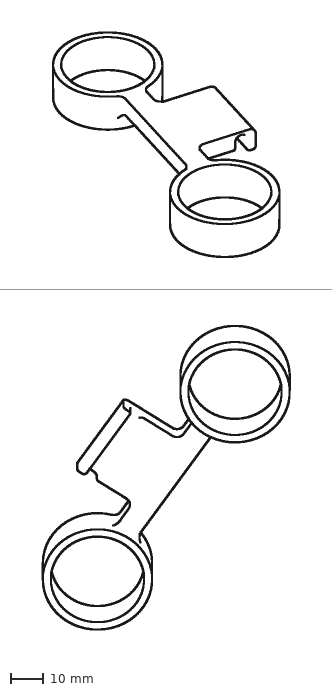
import cadquery as cq

overall_length = 110.1
ring_outer_diameter = 33.9
ring_inner_diameter = 28.8
ring_height = 12.7
ring_radius = ring_outer_diameter / 2
ring_center_x = overall_length / 2 - ring_radius

plate_thickness = 6.3
bridge_width = 7.6
tab_width = 25.5
tab_back_y = 24.7
blend_radius = 2.5
plate_bottom = ring_height - plate_thickness
bridge_half_width = bridge_width / 2

lip_thickness = 3.2
lip_height = 8.1
slot_width = 3.5
slot_roof_thickness = 1.8
hook_edge_radius = 1.2
slot_radius = slot_width / 2
slot_back_y = tab_back_y - lip_thickness
slot_center_y = slot_back_y - slot_radius
slot_front_y = slot_back_y - slot_width
slot_top = ring_height - slot_roof_thickness
slot_spring_z = slot_top - slot_radius
lip_bottom = ring_height - lip_height

margin = 0.1


def cylinder(center_x, diameter):
    """Upright cylinder of full ring height on the ring axis at center_x."""
    return cq.Workplane("XY").center(center_x, 0).circle(diameter / 2).extrude(ring_height)


def nearest(x, y, z):
    """Selector for the edge whose center is closest to a point."""
    return cq.selectors.NearestToPointSelector((x, y, z))


def make_bridge_with_disks():
    """Bridge between two solid disks, with every joint blended."""
    body = (
        cq.Workplane("XY")
        .workplane(offset=plate_bottom)
        .rect(2 * ring_center_x, bridge_width)
        .extrude(plate_thickness)
    )
    for side in (-1, 1):
        body = body.union(cylinder(side * ring_center_x, ring_outer_diameter))

    joint_half_width = bridge_half_width + margin
    for side in (-1, 1):
        disk_edge_x = side * (ring_center_x - ring_radius - margin)
        joint = cq.selectors.BoxSelector(
            (disk_edge_x, -joint_half_width, plate_bottom - margin),
            (side * ring_center_x, joint_half_width, ring_height - margin),
        )
        body = body.edges(joint).fillet(blend_radius)
    return body


def make_hook_tab():
    """Tab whose back end turns down into the hook."""
    tab = (
        cq.Workplane("YZ")
        .moveTo(0, ring_height)
        .lineTo(tab_back_y, ring_height)
        .lineTo(tab_back_y, lip_bottom)
        .lineTo(slot_back_y, lip_bottom)
        .lineTo(slot_back_y, slot_spring_z)
        .threePointArc((slot_center_y, slot_top), (slot_front_y, slot_spring_z))
        .lineTo(slot_front_y, plate_bottom)
        .lineTo(0, plate_bottom)
        .close()
        .extrude(tab_width / 2, both=True)
    )
    tab = tab.edges(nearest(0, tab_back_y, ring_height)).fillet(blend_radius)
    tab = tab.edges(nearest(0, tab_back_y, lip_bottom)).fillet(hook_edge_radius)

    slot_faces = cq.selectors.BoxSelector(
        (-margin, slot_front_y - margin, lip_bottom + margin),
        (margin, slot_back_y + margin, slot_top + margin),
    )
    spring_lines = cq.selectors.BoxSelector(
        (-margin, slot_front_y - margin, slot_spring_z - margin),
        (margin, slot_back_y + margin, slot_spring_z + margin),
    )
    rim = cq.selectors.InverseSelector(spring_lines)
    return tab.faces(slot_faces).edges(rim).fillet(hook_edge_radius)


def make_part():
    """Bridge and hook tab joined, their inside corners blended, and the rings bored."""
    part = make_bridge_with_disks().union(make_hook_tab())
    for side in (-1, 1):
        corner = nearest(side * tab_width / 2, bridge_half_width, ring_height - plate_thickness / 2)
        part = part.edges(corner).fillet(blend_radius)
        part = part.cut(cylinder(side * ring_center_x, ring_inner_diameter))
    return part.solids()


result = make_part()